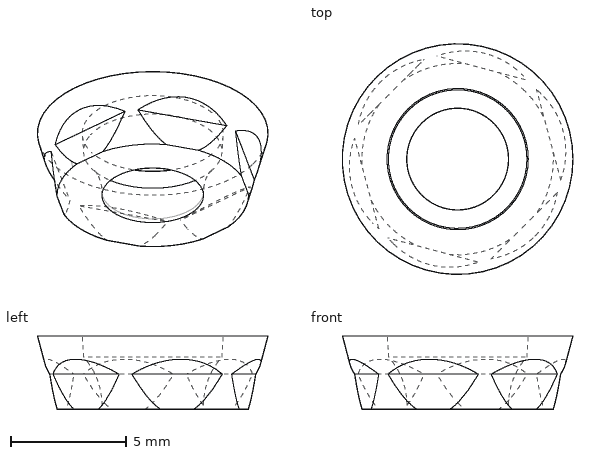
import cadquery as cq
import math

top_diameter = 10.0
thickness = 3.18
clearance_angle = 15.0

bore_diameter = 4.4
bore_height = 0.19
seat_diameter = 6.0
recess_diameter = 6.12
recess_depth = 0.91

flat_count = 6
flat_distance = 4.08
flat_height = 1.52
first_flat_angle = 15.0
relief_angle = 45.0

top_radius = top_diameter / 2
bottom_radius = top_radius - thickness * math.tan(math.radians(clearance_angle))


def make_body():
    """Conical disc with its bottom face on the XY plane."""
    half_profile = (
        cq.Workplane("XZ")
        .moveTo(0, 0)
        .lineTo(bottom_radius, 0)
        .lineTo(top_radius, thickness)
        .lineTo(0, thickness)
        .close()
    )
    return half_profile.revolve(360, (0, 0, 0), (0, 1, 0))


def make_screw_hole():
    """Revolved cutter whose flared seat is tangent to the bore."""
    bore_radius = bore_diameter / 2
    seat_radius = seat_diameter / 2
    recess_floor = thickness - recess_depth
    flare_width = seat_radius - bore_radius
    flare_height = recess_floor - bore_height
    flare_radius = (flare_width**2 + flare_height**2) / (2 * flare_width)
    half_sweep = math.asin(flare_height / flare_radius) / 2
    flare_middle = (
        bore_radius + flare_radius * (1 - math.cos(half_sweep)),
        bore_height + flare_radius * math.sin(half_sweep),
    )
    half_profile = (
        cq.Workplane("XZ")
        .moveTo(0, 0)
        .lineTo(bore_radius, 0)
        .lineTo(bore_radius, bore_height)
        .threePointArc(flare_middle, (seat_radius, recess_floor))
        .lineTo(recess_diameter / 2, thickness)
        .lineTo(0, thickness)
        .close()
    )
    return half_profile.revolve(360, (0, 0, 0), (0, 1, 0))


def make_flat_cutter(angle):
    """Prism that leaves a vertical flat with a sloping relief above it."""
    outer_distance = top_radius
    relief_rise = (outer_distance - flat_distance) * math.tan(math.radians(relief_angle))
    profile = (
        cq.Workplane("XZ")
        .moveTo(flat_distance, 0)
        .lineTo(outer_distance, 0)
        .lineTo(outer_distance, flat_height + relief_rise)
        .lineTo(flat_distance, flat_height)
        .close()
    )
    prism = profile.extrude(top_radius, both=True)
    return prism.rotate((0, 0, 0), (0, 0, 1), angle)


result = make_body().cut(make_screw_hole())
for index in range(flat_count):
    flat_angle = first_flat_angle + index * 360 / flat_count
    result = result.cut(make_flat_cutter(flat_angle))